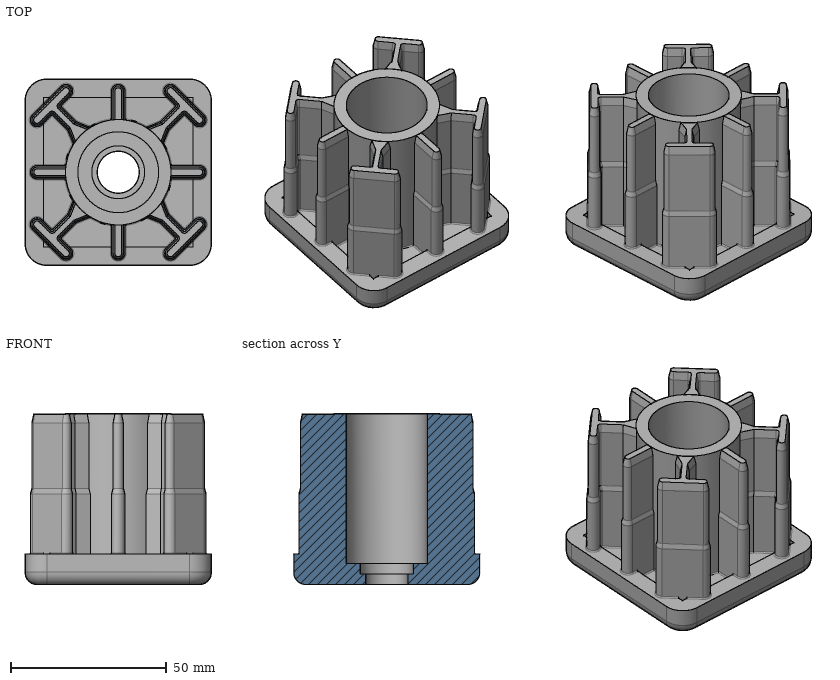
import cadquery as cq
import math

plate_side = 60.0
plate_height = 9.9
plate_corner_radius = 7.0
plate_edge_radius = 4.0
total_height = 55.0

recess_side = 48.0
recess_depth = 3.0
recess_floor_z = plate_height - recess_depth

tube_radius = 17.0
bore_radius = 13.0
step_radius = 8.5
hole_radius = 6.7
bore_floor_z = recess_floor_z
step_floor_z = bore_floor_z / 2

lower_half_width = 2.15
upper_half_width = 1.7
tip_half_width = 1.1
lower_stage_z = 29.15
upper_stage_z = 30.9
tip_taper_z = 52.0
tube_rise = 0.1
rib_height = total_height - tube_rise

side_rib_reach = 26.1

bar_distance = 30.35
bar_half_length = 6.6
web_inset = 0.25
flare_start = 21.05
flare_end = 14.4
flare_angle = 23.0

corner_radius = 0.5
tip_corner_radius = corner_radius + upper_half_width - tip_half_width

root_radius = 0.35


def cylinder(radius, z0, z1):
    return cq.Workplane("XY", origin=(0, 0, z0)).circle(radius).extrude(z1 - z0)


def square_block(side, z0, z1):
    return cq.Workplane("XY", origin=(0, 0, z0)).rect(side, side).extrude(z1 - z0)


def around_axis(body, angle):
    return body.rotate((0, 0, 0), (0, 0, 1), angle)


def side_rib_outline(z, half_width, _inside_radius):
    """Slot from the tube axis outwards along +X; it has no inside corners."""
    length = side_rib_reach + 2 * half_width
    plane = cq.Workplane("XY", origin=(side_rib_reach / 2, 0, z))
    return plane.slot2D(length, 2 * half_width).wires().val()


def corner_rib_outline(z, half_width, inside_radius):
    """T outline along +X: flare, web, filleted inside corners and round-ended bar."""
    half_web = half_width - web_inset
    half_flare = half_web + (flare_start - flare_end) * math.tan(math.radians(flare_angle))
    bar_inner = bar_distance - half_width
    bar_outer = bar_distance + half_width
    bar_end = bar_half_length + half_width
    fillet_x = bar_inner - inside_radius
    fillet_y = half_web + inside_radius
    arc_inset = inside_radius * (1 - math.sqrt(0.5))
    arc_x = bar_inner - arc_inset
    arc_y = half_web + arc_inset
    outline = (
        cq.Workplane("XY", origin=(0, 0, z))
        .moveTo(flare_end, -half_flare)
        .lineTo(flare_start, -half_web)
        .lineTo(fillet_x, -half_web)
        .threePointArc((arc_x, -arc_y), (bar_inner, -fillet_y))
        .lineTo(bar_inner, -bar_half_length)
        .threePointArc((bar_distance, -bar_end), (bar_outer, -bar_half_length))
        .lineTo(bar_outer, bar_half_length)
        .threePointArc((bar_distance, bar_end), (bar_inner, bar_half_length))
        .lineTo(bar_inner, fillet_y)
        .threePointArc((arc_x, arc_y), (fillet_x, half_web))
        .lineTo(flare_start, half_web)
        .lineTo(flare_end, half_flare)
        .close()
    )
    return outline.wires().val()


def raise_rib(outline):
    """Carry an outline up through the straight and tapered stages of a rib."""
    levels = [
        (0, lower_half_width, corner_radius),
        (lower_stage_z, lower_half_width, corner_radius),
        (upper_stage_z, upper_half_width, corner_radius),
        (tip_taper_z, upper_half_width, corner_radius),
        (rib_height, tip_half_width, tip_corner_radius),
    ]
    rib = cq.Workplane("XY")
    for bottom, top in zip(levels, levels[1:]):
        rib = rib.add(cq.Solid.makeLoft([outline(*bottom), outline(*top)], True))
    return rib.combine()


def make_insert():
    """Tube with its ribs, solid inside, standing on Z = 0."""
    side_rib = raise_rib(side_rib_outline)
    corner_rib = raise_rib(corner_rib_outline)
    insert = cylinder(tube_radius, 0, total_height)
    for quarter in range(4):
        insert = insert.union(around_axis(side_rib, 90 * quarter))
        insert = insert.union(around_axis(corner_rib, 90 * quarter + 45))
    return insert


def rooted_on_slab(insert, slab_z):
    """Merge the insert with a slab of the given height and fillet the joint."""
    joined = square_block(plate_side, 0, slab_z).union(insert)
    slab_top = joined.faces("+Z").faces("<Z").val()
    joint = [edge for wire in slab_top.innerWires() for edge in wire.Edges()]
    return joined.newObject(joint).fillet(root_radius)


def make_plate_envelope():
    """Rounded plate sides and lower edge, carried up to the full height."""
    blank = square_block(plate_side, 0, total_height)
    blank = blank.edges("|Z").fillet(plate_corner_radius)
    return blank.faces("<Z").edges().fillet(plate_edge_radius)


def bore(body):
    body = body.cut(cylinder(bore_radius, bore_floor_z, total_height))
    body = body.cut(cylinder(step_radius, step_floor_z, bore_floor_z))
    return body.cut(cylinder(hole_radius, 0, step_floor_z))


insert = make_insert()
recess_column = square_block(recess_side, recess_floor_z, total_height)
outside_recess = rooted_on_slab(insert, plate_height).cut(recess_column)
inside_recess = rooted_on_slab(insert, recess_floor_z).intersect(recess_column)

result = outside_recess.union(inside_recess).intersect(make_plate_envelope())
result = bore(result)